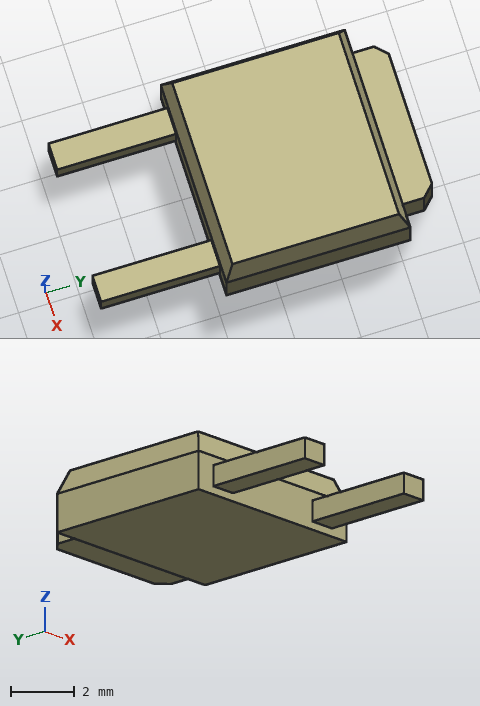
import cadquery as cq

housing_width = 6.83
housing_length = 6.05
housing_height = 2.06
base_height = 1.28
top_inset = 0.29

lead_length = 3.91
lead_width = 0.9
lead_thickness = 0.7
lead_bottom = 0.28
lead_spacing = 4.57

tab_width = 5.23
tab_length = 1.08
tab_corner = 0.38

housing_back = housing_length / 2
housing_front = -housing_length / 2


def make_lead(x_center):
    """Straight lead out of the front of the housing; its inner half is inside the housing."""
    return (
        cq.Workplane("XY", origin=(x_center, housing_front, lead_bottom))
        .rect(lead_width, 2 * lead_length)
        .extrude(lead_thickness)
    )


def make_housing():
    """Housing with its two leads as one solid."""
    base = cq.Workplane("XY").rect(housing_width, housing_length).extrude(base_height)
    sloped_top = (
        cq.Workplane("XY", origin=(0, 0, base_height))
        .rect(housing_width, housing_length)
        .workplane(offset=housing_height - base_height)
        .rect(housing_width - 2 * top_inset, housing_length - 2 * top_inset)
        .loft(ruled=True)
    )
    body = base.union(sloped_top)
    for side in (-1, 1):
        body = body.union(make_lead(side * lead_spacing / 2))
    return body


def make_tab():
    """Flat tab against the back of the housing, with its outer corners cut off."""
    return (
        cq.Workplane("XY", origin=(0, housing_back + tab_length / 2, 0))
        .rect(tab_width, tab_length)
        .extrude(base_height)
        .edges("|Z and >Y")
        .chamfer(tab_corner)
    )


housing = make_housing()
tab = make_tab()

result = cq.Compound.makeCompound([housing.val(), tab.val()])